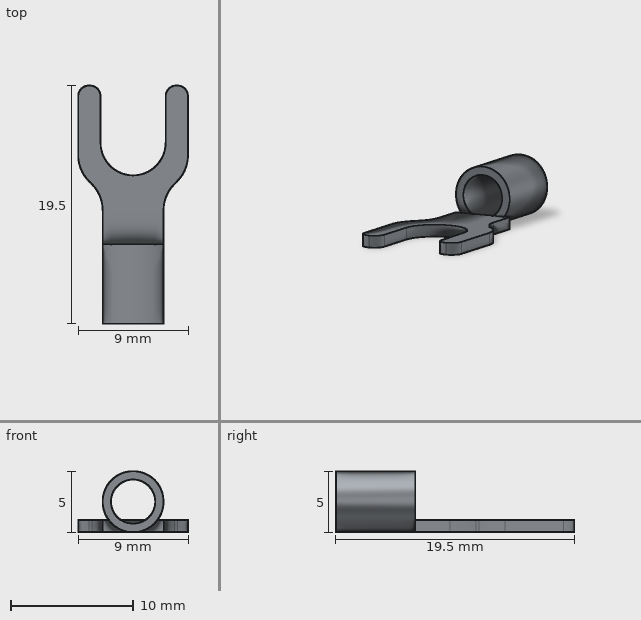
import cadquery as cq


barrel_diameter = 5.0
bore_diameter = 3.6
barrel_length = 6.5

overall_length = 19.5
fork_width = 9.0
plate_thickness = 1.0
neck_width = barrel_diameter
slot_width = 5.3
slot_center_from_tip = 4.7
tip_radius = 0.9
shoulder_from_tip = 6.95
shoulder_radius = 3.0

barrel_radius = barrel_diameter / 2
half_fork = fork_width / 2
half_neck = neck_width / 2
slot_center_y = overall_length - slot_center_from_tip
shoulder_top_y = overall_length - shoulder_from_tip
shoulder_bottom_y = shoulder_top_y - (half_fork - half_neck)


def make_barrel():
    """Open tube along Y, resting on Z = 0."""
    return (
        cq.Workplane("XZ", origin=(0, 0, barrel_radius))
        .circle(barrel_radius)
        .circle(bore_diameter / 2)
        .extrude(-barrel_length)
    )


def make_blank():
    """Neck widening through rounded 45 degree shoulders to the full fork width."""
    blank = (
        cq.Workplane("XY")
        .moveTo(-half_neck, barrel_length)
        .lineTo(half_neck, barrel_length)
        .lineTo(half_neck, shoulder_bottom_y)
        .lineTo(half_fork, shoulder_top_y)
        .lineTo(half_fork, overall_length)
        .lineTo(-half_fork, overall_length)
        .lineTo(-half_fork, shoulder_top_y)
        .lineTo(-half_neck, shoulder_bottom_y)
        .close()
        .extrude(plate_thickness)
    )
    shoulder_edges = blank.edges("|Z").edges(
        cq.selectors.BoxSelector(
            (-fork_width, barrel_length + plate_thickness, -plate_thickness),
            (fork_width, slot_center_y, 2 * plate_thickness),
        )
    )
    return shoulder_edges.fillet(shoulder_radius)


def make_slot_cutter():
    """Round-bottomed slot, open at the fork tips."""
    half_slot = slot_width / 2
    return (
        cq.Workplane("XY")
        .moveTo(-half_slot, overall_length)
        .lineTo(-half_slot, slot_center_y)
        .threePointArc((0, slot_center_y - half_slot), (half_slot, slot_center_y))
        .lineTo(half_slot, overall_length)
        .close()
        .extrude(plate_thickness)
    )


def make_fork():
    """Slotted plate with rounded tine tips."""
    slotted = make_blank().cut(make_slot_cutter())
    return slotted.faces(">Y").edges("|Z").fillet(tip_radius)


result = make_barrel().union(make_fork())